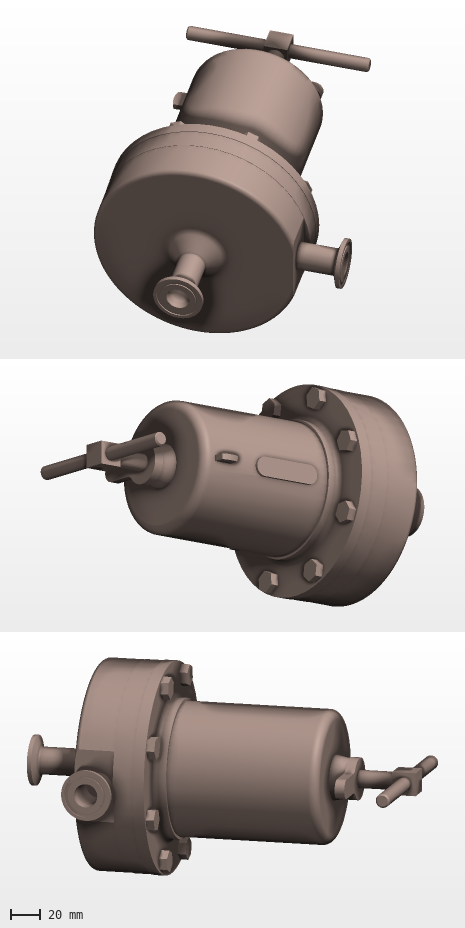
import cadquery as cq
import math

total_length = 269.7
overall_width = 173.2
flange_diameter = 146.0

rim_radius = 17.3
rim_thickness = 3.0
neck_length = 7.3
pipe_radius = 9.5
bore_radius = 8.0
groove_radius = 13.8
groove_width = 2.5
groove_depth = 0.8
flare_radius = 11.0
flare_start = 5.5

body_radius = 72.3
body_bottom = 47.2
body_edge_round = 3.5
flat_distance = 68.0
ring_radius = 72.5
ring_bottom = 75.0
outlet_cone_radius = 20.8
outlet_cone_start = 36.5
outlet_cone_round = 6.2
side_port_height = 63.7
side_port_reach = overall_width - flange_diameter / 2

flange_bottom = 89.0
flange_top = 96.8
bolt_count = 8
bolt_circle_radius = 64.5
bolt_head_flats = 13.5
bolt_head_height = 5.7

bonnet_turn = 1.6
collar_radius = 48.0
collar_top = 105.7
collar_round = 3.5
bonnet_radius = 46.0
bonnet_top = 211.2
bonnet_edge_round = 6.2

window_reach = 48.0
window_length = 51.3
window_width = 13.5
window_centre = 141.3
tag_reach = 55.3
tag_length = 13.2
tag_thickness = 4.0
tag_centre = 195.0
tag_end_bulge = 1.3

neck_base_radius = 15.6
neck_top_radius = 13.5
lever_bottom = 221.7
lever_thickness = 6.7
lever_hub_radius = 14.5
lever_reach = 40.5
lever_width = 13.5
lever_blend_radius = 6.7
stem_radius = 6.2
block_length = 16.5
block_depth = 16.0
bar_length = 127.5
bar_radius = 4.9
bar_chamfer = 1.0


def cylinder_y(radius, bottom, top):
    """Cylinder on the main axis between two Y positions."""
    return cq.Workplane("XZ", origin=(0, bottom, 0)).circle(radius).extrude(bottom - top)


def ferrule(length):
    """Clamp ferrule and pipe on +Y, with its sealing face at Y = 0."""
    return (
        cq.Workplane("XY")
        .lineTo(0, length)
        .lineTo(pipe_radius, length)
        .lineTo(pipe_radius, neck_length)
        .tangentArcPoint((flare_radius, flare_start), relative=False)
        .lineTo(rim_radius, rim_thickness)
        .lineTo(rim_radius, 0)
        .close()
        .revolve(360, (0, 0, 0), (0, 1, 0))
    )


def ferrule_hollow(length):
    """Bore and face groove to be cut from a ferrule."""
    bore = cylinder_y(bore_radius, 0, length)
    groove = cylinder_y(groove_radius + groove_width / 2, 0, groove_depth)
    groove = groove.cut(cylinder_y(groove_radius - groove_width / 2, 0, groove_depth))
    return bore.union(groove)


def to_side_port(shape):
    """Move a shape from the outlet position to the side port, pointing to +X."""
    return shape.rotate((0, 0, 0), (0, 0, 1), 90).translate((side_port_reach, side_port_height, 0))


def lower_body():
    """Round body with a flat for the side port, the ring above it and the cone to the outlet pipe."""
    body = cylinder_y(body_radius, body_bottom, ring_bottom).faces("<Y").edges().fillet(body_edge_round)
    flat = cq.Workplane("XY").box(
        body_radius, ring_bottom - body_bottom, 2 * body_radius, centered=(False, False, True)
    )
    body = body.cut(flat.translate((flat_distance, body_bottom, 0)))
    cone = (
        cq.Workplane("XY")
        .moveTo(0, outlet_cone_start)
        .lineTo(pipe_radius, outlet_cone_start)
        .lineTo(outlet_cone_radius, body_bottom)
        .lineTo(outlet_cone_radius, body_bottom + body_edge_round)
        .lineTo(0, body_bottom + body_edge_round)
        .close()
        .revolve(360, (0, 0, 0), (0, 1, 0))
    )
    body = body.union(cone)
    box_margin = 0.3
    box_reach = outlet_cone_radius + box_margin
    cone_base = cq.selectors.BoxSelector(
        (-box_reach, body_bottom - box_margin, -box_reach),
        (box_reach, body_bottom + box_margin, box_reach),
        boundingbox=True,
    )
    body = body.edges(cone_base).fillet(outlet_cone_round)
    return body.union(cylinder_y(ring_radius, ring_bottom, flange_bottom))


def bolt_heads():
    """Hexagon heads on the flange, each with a flat facing outward."""
    corner_to_flat = 30
    corner_diameter = bolt_head_flats / math.cos(math.radians(corner_to_flat))
    head = (
        cq.Workplane("XZ", origin=(0, flange_top, 0))
        .polygon(6, corner_diameter)
        .extrude(-bolt_head_height)
        .rotate((0, 0, 0), (0, 1, 0), corner_to_flat)
        .translate((bolt_circle_radius, 0, 0))
    )
    heads = cq.Workplane("XY")
    pitch = 360 / bolt_count
    first_angle = pitch / 2
    for index in range(bolt_count):
        heads = heads.add(head.rotate((0, 0, 0), (0, 1, 0), first_angle + index * pitch))
    return heads.combine()


def bonnet():
    """Spring housing with its collar, window, tag and bolt heads."""
    housing = (
        cq.Workplane("XY")
        .moveTo(0, flange_top)
        .lineTo(collar_radius + collar_round, flange_top)
        .radiusArc((collar_radius, flange_top + collar_round), collar_round)
        .lineTo(collar_radius, collar_top)
        .lineTo(bonnet_radius, collar_top)
        .lineTo(bonnet_radius, bonnet_top)
        .lineTo(0, bonnet_top)
        .close()
        .revolve(360, (0, 0, 0), (0, 1, 0))
        .faces(">Y")
        .edges()
        .fillet(bonnet_edge_round)
    )
    window = (
        cq.Workplane("YZ")
        .center(window_centre, 0)
        .slot2D(window_length, window_width)
        .extrude(-window_reach)
    )
    tag_corner = tag_end_bulge - tag_reach
    tag = (
        cq.Workplane("XY", origin=(0, tag_centre, 0))
        .moveTo(0, -tag_length / 2)
        .lineTo(tag_corner, -tag_length / 2)
        .threePointArc((-tag_reach, 0), (tag_corner, tag_length / 2))
        .lineTo(0, tag_length / 2)
        .close()
        .extrude(tag_thickness / 2, both=True)
    )
    whole = housing.union(window).union(tag).union(bolt_heads())
    return whole.rotate((0, 0, 0), (0, 1, 0), -bonnet_turn)


def neck():
    """Tapered neck between the bonnet and the lock lever."""
    return (
        cq.Workplane("XY")
        .moveTo(0, bonnet_top)
        .lineTo(neck_base_radius, bonnet_top)
        .lineTo(neck_top_radius, lever_bottom)
        .lineTo(0, lever_bottom)
        .close()
        .revolve(360, (0, 0, 0), (0, 1, 0))
    )


def lock_lever():
    """Round hub with a round-ended arm toward +X, blended into the hub."""
    top = lever_bottom + lever_thickness
    hub = cylinder_y(lever_hub_radius, lever_bottom, top)
    arm_end = lever_reach - lever_width / 2
    arm = (
        cq.Workplane("XZ", origin=(0, lever_bottom, 0))
        .rect(2 * arm_end, lever_width)
        .extrude(-lever_thickness)
        .intersect(cq.Workplane("XY").box(arm_end, total_length, lever_width, centered=(False, False, True)))
        .union(cylinder_y(lever_width / 2, lever_bottom, top).translate((arm_end, 0, 0)))
    )
    corners = cq.selectors.BoxSelector(
        (0, lever_bottom, -lever_width), (lever_hub_radius, top, lever_width)
    )
    return hub.union(arm).edges("|Y").edges(corners).fillet(lever_blend_radius)


def handle():
    """Stem, square block and cross bar."""
    block_centre = total_length - block_length / 2
    stem = cylinder_y(stem_radius, lever_bottom, block_centre)
    block = cq.Workplane("XY").box(block_length, block_length, block_depth).translate((0, block_centre, 0))
    bar = (
        cq.Workplane("YZ", origin=(-bar_length / 2, block_centre, 0))
        .circle(bar_radius)
        .extrude(bar_length)
        .edges()
        .chamfer(bar_chamfer)
    )
    return stem.union(block).union(bar)


outlet_length = body_bottom
side_port_length = side_port_reach - flat_distance

result = (
    lower_body()
    .union(ferrule(outlet_length))
    .union(to_side_port(ferrule(side_port_length)))
    .union(cylinder_y(flange_diameter / 2, flange_bottom, flange_top))
    .union(bonnet())
    .union(neck())
    .union(lock_lever())
    .union(handle())
    .cut(ferrule_hollow(outlet_length))
    .cut(to_side_port(ferrule_hollow(side_port_length)))
)